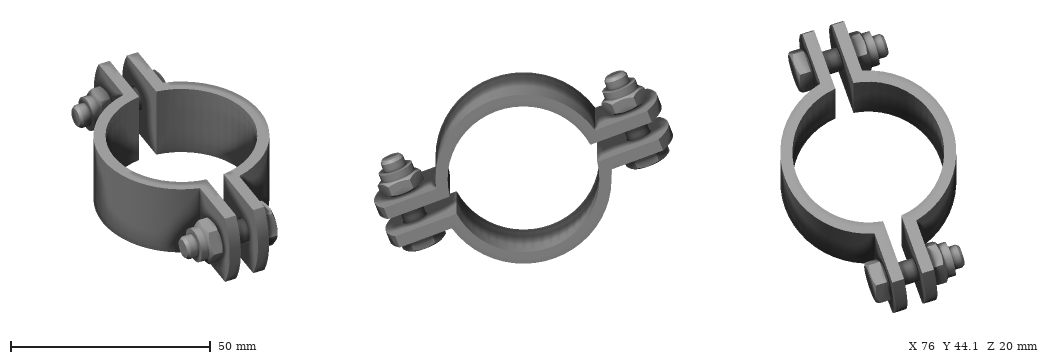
import cadquery as cq
import math

overall_length = 76.0
clamp_width = 20.0
ring_outer_radius = 22.05
ring_wall = 3.05
ring_inner_radius = ring_outer_radius - ring_wall
gap = 4.8
lug_thickness = 3.1
lug_inner_y = gap / 2
lug_outer_y = lug_inner_y + lug_thickness
lug_end_radius = clamp_width
bolt_spacing = 60.0
bolt_hole_diameter = 6.5

shank_diameter = 6.0
tip_diameter = 4.9
tip_length = 0.75
shank_end_y = -14.6
hex_flats = 10.0
hex_corners = hex_flats / math.cos(math.pi / 6)
hex_chamfer_angle = math.radians(30)
head_face_diameter = 8.7
head_face_height = 0.5
head_height = 3.5
head_top_diameter = 9.5
nut_hex_height = 4.0
nut_bearing_diameter = 8.7
nut_collar_diameter = 8.9
nut_collar_height = 2.05


def cylinder_y(diameter, y_start, y_end):
    """Cylinder about the Y axis between two Y positions."""
    return (
        cq.Workplane("XZ", origin=(0, y_end, 0))
        .circle(diameter / 2)
        .extrude(y_end - y_start)
    )


def hex_y(y_start, y_end):
    """Hexagonal prism along Y with corners on the X axis."""
    return (
        cq.Workplane("XZ", origin=(0, y_end, 0))
        .polygon(6, hex_corners)
        .extrude(y_end - y_start)
    )


def corner_cone(face_y, face_diameter, inward):
    """Solid cone widening from an end face; its overlap with a hexagon has chamfered corners.

    inward is the direction along Y (+1 or -1) from the face into the hexagon.
    """
    face_radius = face_diameter / 2
    depth = hex_flats
    deep_y = face_y + inward * depth
    return (
        cq.Workplane("XY")
        .moveTo(0, face_y)
        .lineTo(face_radius, face_y)
        .lineTo(face_radius + depth / math.tan(hex_chamfer_angle), deep_y)
        .lineTo(0, deep_y)
        .close()
        .revolve(360, (0, 0, 0), (0, 1, 0))
    )


def make_clamp_half():
    """Half ring on the +Y side with a drilled, round-ended lug on each side."""
    disc = cq.Workplane("XY").circle(ring_outer_radius).extrude(clamp_width / 2, both=True)
    lugs = cq.Workplane("XY").box(overall_length, 2 * lug_outer_y, clamp_width)
    end_centre_x = overall_length / 2 - lug_end_radius
    end_corner_x = end_centre_x + math.sqrt(lug_end_radius**2 - (clamp_width / 2) ** 2)
    rounded_outline = (
        cq.Workplane("XZ")
        .moveTo(-end_corner_x, -clamp_width / 2)
        .lineTo(end_corner_x, -clamp_width / 2)
        .threePointArc((overall_length / 2, 0), (end_corner_x, clamp_width / 2))
        .lineTo(-end_corner_x, clamp_width / 2)
        .threePointArc((-overall_length / 2, 0), (-end_corner_x, -clamp_width / 2))
        .close()
        .extrude(lug_outer_y, both=True)
    )
    bore = cq.Workplane("XY").circle(ring_inner_radius).extrude(clamp_width, both=True)
    upper_side = (
        cq.Workplane("XY")
        .box(overall_length, ring_outer_radius, clamp_width)
        .translate((0, lug_inner_y + ring_outer_radius / 2, 0))
    )
    half = disc.union(lugs.intersect(rounded_outline)).cut(bore).intersect(upper_side)
    for side in (-1, 1):
        hole = cylinder_y(bolt_hole_diameter, 0, ring_outer_radius)
        half = half.cut(hole.translate((side * bolt_spacing / 2, 0, 0)))
    return half


def make_bolt():
    """Hex bolt on the Y axis, head on the +Y side."""
    head_start_y = lug_outer_y + head_face_height
    head_end_y = head_start_y + head_height
    head = hex_y(head_start_y, head_end_y).intersect(
        corner_cone(head_end_y, head_top_diameter, -1)
    )
    face = cylinder_y(head_face_diameter, lug_outer_y, head_start_y)
    tip_chamfer = (shank_diameter - tip_diameter) / 2
    shank = (
        cylinder_y(shank_diameter, shank_end_y, lug_outer_y)
        .faces("<Y")
        .chamfer(tip_length, tip_chamfer)
    )
    return head.union(face).union(shank)


def make_nut():
    """Locking nut on the Y axis, with a round collar facing -Y."""
    bearing_y = -lug_outer_y
    hex_end_y = bearing_y - nut_hex_height
    collar_end_y = hex_end_y - nut_collar_height
    body = (
        hex_y(hex_end_y, bearing_y)
        .intersect(corner_cone(bearing_y, nut_bearing_diameter, -1))
        .intersect(corner_cone(hex_end_y, nut_collar_diameter, 1))
    )
    collar = cylinder_y(nut_collar_diameter, collar_end_y, hex_end_y)
    bore = cylinder_y(shank_diameter, collar_end_y, bearing_y)
    return body.union(collar).cut(bore)


back_half = make_clamp_half()
front_half = make_clamp_half().mirror("XZ")

bolts = []
nuts = []
for side in (-1, 1):
    fastener_place = (side * bolt_spacing / 2, 0, 0)
    bolts.append(make_bolt().translate(fastener_place).val())
    nuts.append(make_nut().translate(fastener_place).val())

result = cq.Compound.makeCompound([back_half.val(), front_half.val(), *bolts, *nuts])